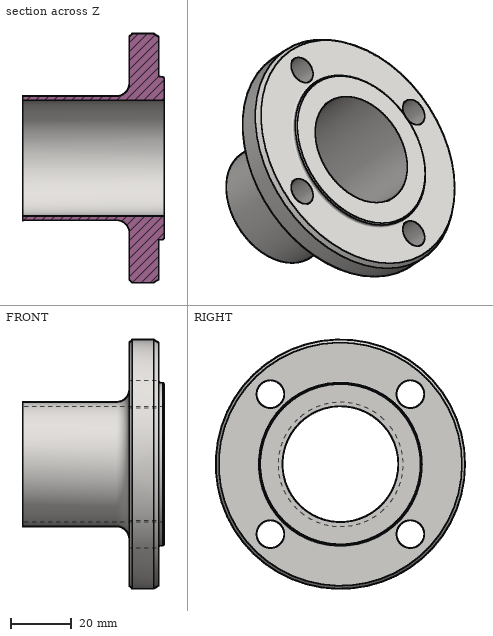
import cadquery as cq

total_length = 46.5
flange_diameter = 82.0
flange_thickness = 9.75
face_diameter = 53.6
face_height = 1.8
pipe_diameter = 41.0
bore_diameter = 38.0

neck_fillet = 4.0
back_chamfer = 1.1
front_chamfer_radial = 1.1
front_chamfer_axial = 1.7
face_fillet = 0.5
face_chamfer = 0.5

bolt_count = 4
bolt_hole_diameter = 9.0
bolt_circle_diameter = 65.0
bolt_start_angle = 45.0

face_x = total_length
flange_front_x = face_x - face_height
flange_back_x = flange_front_x - flange_thickness


def disc(start_x, end_x, diameter):
    """Solid cylinder about the X axis between two stations."""
    return cq.Workplane("YZ", origin=(start_x, 0, 0)).circle(diameter / 2).extrude(end_x - start_x)


def flange_plate():
    plate = disc(flange_back_x, flange_front_x, flange_diameter)
    plate = plate.faces("<X").edges().chamfer(back_chamfer)
    return plate.faces(">X").edges().chamfer(front_chamfer_axial, front_chamfer_radial)


def junction_circle(x, diameter):
    """Selector for the circular edge where a disc meets the flange."""
    reach = diameter / 2 + face_fillet
    margin = face_fillet / 2
    return cq.selectors.BoxSelector(
        (x - margin, -reach, -reach), (x + margin, reach, reach), boundingbox=True
    )


def bolt_holes():
    return (
        cq.Workplane("YZ", origin=(flange_back_x, 0, 0))
        .polarArray(bolt_circle_diameter / 2, bolt_start_angle, 360, bolt_count)
        .circle(bolt_hole_diameter / 2)
        .extrude(flange_thickness)
    )


body = disc(0, flange_back_x, pipe_diameter).union(flange_plate())
body = body.union(disc(flange_front_x, face_x, face_diameter))

body = body.edges(junction_circle(flange_back_x, pipe_diameter)).fillet(neck_fillet)
body = body.edges(junction_circle(flange_front_x, face_diameter)).fillet(face_fillet)
body = body.faces(">X").edges().chamfer(face_chamfer)

result = body.cut(disc(0, face_x, bore_diameter)).cut(bolt_holes())